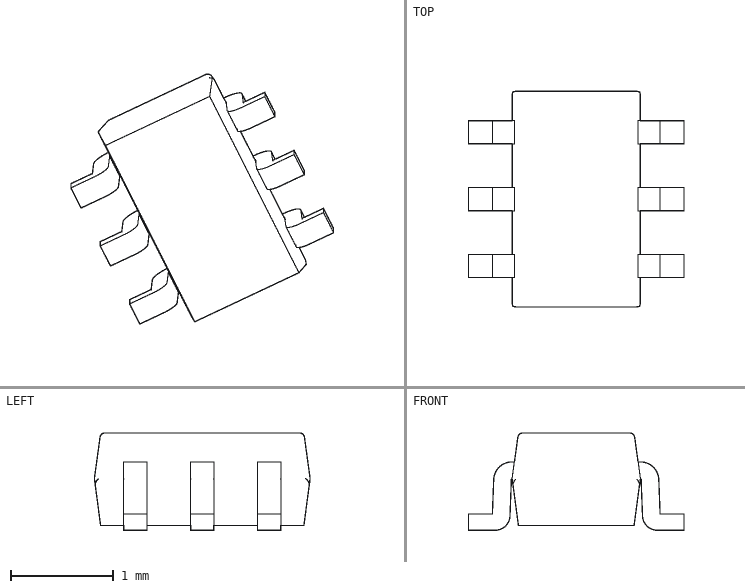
import cadquery as cq
import math

BODY_LENGTH = 2.1
SPAN = 2.1
TOP_Z = 0.95

BODY_WIDTH = 1.25
BODY_BOTTOM_Z = 0.046
PARTING_Z = 0.505
UPPER_HEIGHT = TOP_Z - PARTING_Z
LOWER_HEIGHT = PARTING_Z - BODY_BOTTOM_Z
BODY_INSET = 0.06
EDGE_RADIUS = 0.05
END_FLAT_HEIGHT = 0.013
MEAN_SLOPE = 2 * BODY_INSET / (UPPER_HEIGHT + LOWER_HEIGHT)
SHARP_LENGTH = BODY_LENGTH + END_FLAT_HEIGHT * MEAN_SLOPE

LEAD_PITCH = 0.65
LEADS_PER_SIDE = 3
LEAD_WIDTH = 0.227
FOOT_THICKNESS = 0.162
FOOT_LENGTH = 0.233
SHOULDER_TOP_Z = 0.668
SHOULDER_THICKNESS = 0.17
SHOULDER_RADIUS = 0.18
HEEL_RADIUS = 0.147
LEG_THICKNESS = 0.168
LEG_LEAN = 0.019
LEAD_ROOT_X = 0.42

MARK_X = 0.332
MARK_Y = -0.765
MARK_RIM_RADIUS = 0.09
MARK_FLOOR_RADIUS = 0.082
MARK_DEPTH = 0.002


def tapered_half(height):
    """Frustum from the parting plane; a negative height extends downward."""
    taper = math.degrees(math.atan(BODY_INSET / abs(height)))
    return (
        cq.Workplane("XY")
        .workplane(offset=PARTING_Z)
        .rect(BODY_WIDTH, SHARP_LENGTH)
        .extrude(height, taper=taper)
    )


def make_body():
    """Two frusta base to base, rounded above the parting plane, with narrow flats on the Y ends."""
    body = tapered_half(UPPER_HEIGHT).union(tapered_half(-LOWER_HEIGHT))
    upper_edges = cq.selectors.BoxSelector(
        (-BODY_WIDTH, -BODY_LENGTH, PARTING_Z + EDGE_RADIUS),
        (BODY_WIDTH, BODY_LENGTH, TOP_Z + EDGE_RADIUS),
    )
    rounded = body.edges(upper_edges).fillet(EDGE_RADIUS)
    length_limit = cq.Workplane("XY").box(2 * BODY_WIDTH, BODY_LENGTH, 3 * TOP_Z)
    return rounded.intersect(length_limit)


def make_lead():
    """Lead on the +X side: rounded outer bends, sharp inner bends."""
    tip_x = SPAN / 2
    foot_x = tip_x - FOOT_LENGTH
    outer_top_x = foot_x - LEG_LEAN
    inner_top_x = outer_top_x - LEG_THICKNESS
    inner_bottom_x = foot_x - LEG_THICKNESS
    shoulder_bottom_z = SHOULDER_TOP_Z - SHOULDER_THICKNESS
    profile = (
        cq.Workplane("XZ")
        .moveTo(LEAD_ROOT_X, SHOULDER_TOP_Z)
        .lineTo(outer_top_x, SHOULDER_TOP_Z)
        .lineTo(foot_x, FOOT_THICKNESS)
        .lineTo(tip_x, FOOT_THICKNESS)
        .lineTo(tip_x, 0)
        .lineTo(inner_bottom_x, 0)
        .lineTo(inner_top_x, shoulder_bottom_z)
        .lineTo(LEAD_ROOT_X, shoulder_bottom_z)
        .close()
    )
    lead = profile.extrude(LEAD_WIDTH / 2, both=True)
    shoulder = cq.selectors.NearestToPointSelector((outer_top_x, 0, SHOULDER_TOP_Z))
    heel = cq.selectors.NearestToPointSelector((inner_bottom_x, 0, 0))
    return lead.edges(shoulder).fillet(SHOULDER_RADIUS).edges(heel).fillet(HEEL_RADIUS)


def make_pin_mark():
    """Shallow round recess with a sloped wall."""
    taper = math.degrees(math.atan((MARK_RIM_RADIUS - MARK_FLOOR_RADIUS) / MARK_DEPTH))
    return (
        cq.Workplane("XY")
        .workplane(offset=TOP_Z)
        .center(MARK_X, MARK_Y)
        .circle(MARK_RIM_RADIUS)
        .extrude(-MARK_DEPTH, taper=taper)
    )


result = make_body()
right_lead = make_lead()
left_lead = right_lead.mirror("YZ")
for index in range(LEADS_PER_SIDE):
    lead_y = (index - (LEADS_PER_SIDE - 1) / 2) * LEAD_PITCH
    for lead in (right_lead, left_lead):
        result = result.union(lead.translate((0, lead_y, 0)))
result = result.cut(make_pin_mark())